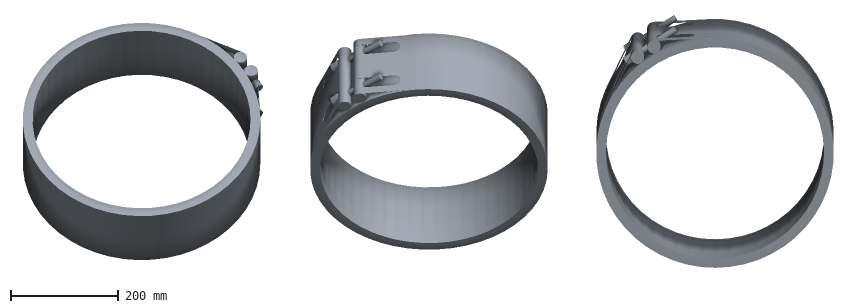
import cadquery as cq
import math

ring_diameter = 442.5
bore_diameter = 406.0
ring_height = 141.0
ring_radius = ring_diameter / 2

pin_diameter = 24.0
pin_radius = pin_diameter / 2
pin_offset_x = 18.0
clamp_height = 138.5

strap_thickness = 0.5
wrap_radius = pin_radius + strap_thickness
overall_depth = 466.5
pin_y = overall_depth - ring_radius - wrap_radius
slot_width = 24.2
slot_end_y = 204.0

screw_offset_z = 42.0
screw_diameter = 12.0
screw_tip_x = -66.5
washer_diameter = 20.0
washer_thickness = 3.3
head_diameter = 18.0
head_length = 11.0

pin_distance = math.hypot(pin_offset_x, pin_y)
pin_bearing = math.atan2(pin_offset_x, pin_y)
tangent_angle = pin_bearing + math.acos((ring_radius - wrap_radius) / pin_distance)
normal_x = math.sin(tangent_angle)
normal_y = math.cos(tangent_angle)
strap_start = (pin_offset_x + wrap_radius * normal_x, pin_y + wrap_radius * normal_y)
strap_end = (ring_radius * normal_x, ring_radius * normal_y)


def make_ring():
    ring = cq.Workplane("XY").circle(ring_radius).circle(bore_diameter / 2)
    return ring.extrude(ring_height / 2, both=True)


def make_pin():
    pin = cq.Workplane("XY").center(pin_offset_x, pin_y).circle(pin_radius)
    return pin.extrude(clamp_height / 2, both=True)


def make_wrap():
    """Strap sleeve around the +X pin, open at the screws on its outer half."""
    wrap = (
        cq.Workplane("XY")
        .center(pin_offset_x, pin_y)
        .circle(wrap_radius)
        .circle(pin_radius)
        .extrude(clamp_height / 2, both=True)
    )
    for z in (-screw_offset_z, screw_offset_z):
        opening = cq.Workplane("XY").box(
            wrap_radius, 2 * wrap_radius, slot_width, centered=(False, True, True)
        )
        wrap = wrap.cut(opening.translate((pin_offset_x, pin_y, z)))
    return wrap


def make_leg():
    """Strap leg on the +X side, slotted to clear the screws."""
    length = math.dist(strap_start, strap_end)
    leg_plane = cq.Plane(
        origin=(*strap_start, 0),
        xDir=(normal_y, -normal_x, 0),
        normal=(normal_x, normal_y, 0),
    )
    leg = (
        cq.Workplane(leg_plane)
        .center(length / 2, 0)
        .rect(length, clamp_height)
        .extrude(-strap_thickness)
    )
    slot_length = (strap_start[1] - slot_end_y) / normal_x
    slot_radius = slot_width / 2
    arc_start = slot_length - slot_radius
    for z in (-screw_offset_z, screw_offset_z):
        slot = (
            cq.Workplane(leg_plane)
            .moveTo(0, z - slot_radius)
            .lineTo(arc_start, z - slot_radius)
            .threePointArc((slot_length, z), (arc_start, z + slot_radius))
            .lineTo(0, z + slot_radius)
            .close()
            .extrude(-strap_thickness)
        )
        leg = leg.cut(slot)
    return leg


def make_screw(z):
    """Screw along X with its washer seated against the +X pin."""
    def cylinder(diameter, start_x, end_x):
        base = cq.Workplane("YZ", origin=(start_x, pin_y, z))
        return base.circle(diameter / 2).extrude(end_x - start_x)

    washer_x = pin_offset_x + pin_radius
    head_x = washer_x + washer_thickness
    shank = cylinder(screw_diameter, screw_tip_x, head_x)
    washer = cylinder(washer_diameter, washer_x, head_x)
    head = cylinder(head_diameter, head_x, head_x + head_length)
    return shank.union(washer).union(head)


clamp_side = make_pin().union(make_wrap()).union(make_leg())
result = make_ring().union(clamp_side).union(clamp_side.mirror("YZ"))
for screw_z in (-screw_offset_z, screw_offset_z):
    result = result.union(make_screw(screw_z))